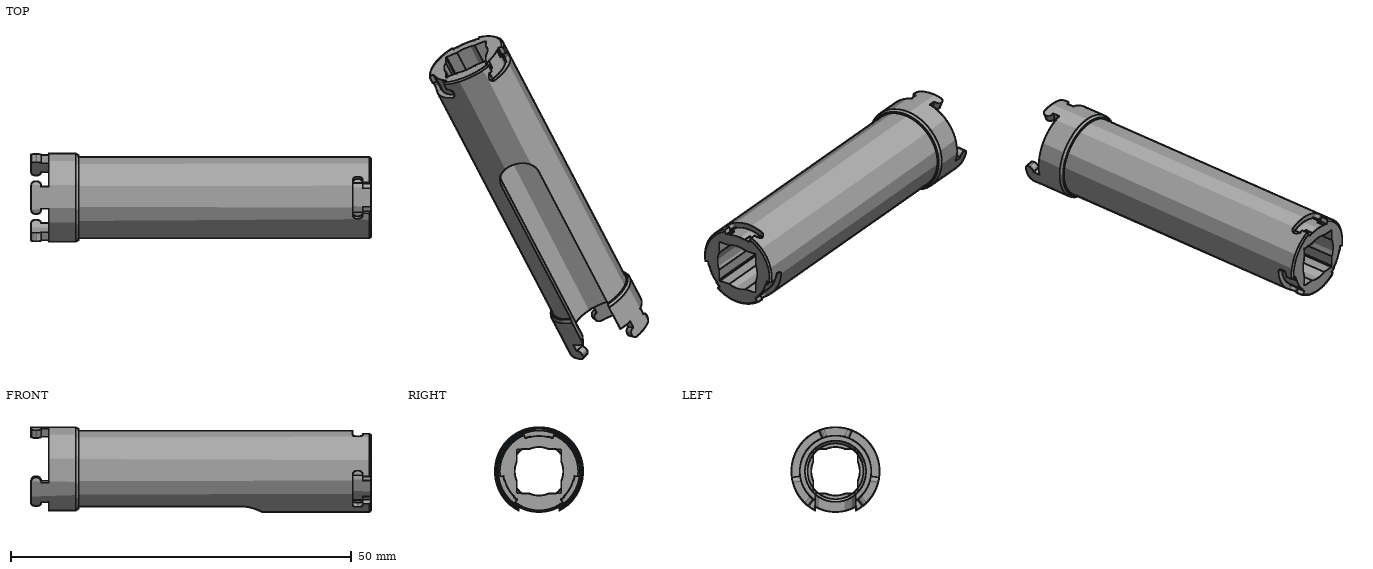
import cadquery as cq

total_length = 50.0
tube_radius = 6.0
collar_radius = 6.5
collar_start = 2.6
collar_end = 7.0
collar_chamfer_length = 0.45
collar_chamfer_depth = 0.25
end_chamfer = 0.25

bore_radius = 4.5
bore_end = 40.0
shoulder_radius = 4.1
shoulder_start = bore_end + bore_radius - shoulder_radius
hole_radius = 3.55
square_side = 6.5
counterbore_radius = 5.25
counterbore_depth = 0.2

slot_width = 6.0
slot_end = 34.0

position_angles = (0, 120, 240)
tooth_head_length = 1.5
tooth_head_half_angle = 22.0
tooth_neck_half_angle = 14.8
tooth_corner_radius = 0.7
socket_start = 47.3
socket_end = socket_start + tooth_head_length
socket_head_half_angle = 31.0
socket_neck_half_angle = 22.5
socket_corner_radius = 0.65
socket_floor_radius = 5.3
recess_floor_radius = 5.2
recess_head_half_angle = 24.0
recess_neck_half_angle = 15.0

overlap = 0.5
cut_radius = collar_radius + overlap


def cylinder(radius, start, end):
    return cq.Workplane("YZ", origin=(start, 0, 0)).circle(radius).extrude(end - start)


def sector(start, end, inner_radius, outer_radius, half_angle):
    """Ring segment with radial side walls, centred on +Z."""
    return (
        cq.Workplane("XZ")
        .moveTo(start, inner_radius)
        .lineTo(end, inner_radius)
        .lineTo(end, outer_radius)
        .lineTo(start, outer_radius)
        .close()
        .revolve(2 * half_angle, (0, 0, 0), (1, 0, 0))
        .rotate((0, 0, 0), (1, 0, 0), -half_angle)
    )


def round_radial_edges(segment, radius):
    return segment.edges("%LINE").edges("not(|X)").fillet(radius)


def make_body():
    profile = [
        (0, 0),
        (0, collar_radius),
        (collar_end - collar_chamfer_length, collar_radius),
        (collar_end, collar_radius - collar_chamfer_depth),
        (collar_end, tube_radius),
        (total_length - end_chamfer, tube_radius),
        (total_length, tube_radius - end_chamfer),
        (total_length, 0),
    ]
    return cq.Workplane("XZ").polyline(profile).close().revolve(360, (0, 0, 0), (1, 0, 0))


def make_bore():
    profile = [
        (-overlap, 0),
        (-overlap, counterbore_radius),
        (collar_start + counterbore_depth, counterbore_radius),
        (collar_start + counterbore_depth, bore_radius),
        (bore_end, bore_radius),
        (shoulder_start, shoulder_radius),
        (shoulder_start, hole_radius),
        (total_length + overlap, hole_radius),
        (total_length + overlap, 0),
    ]
    return cq.Workplane("XZ").polyline(profile).close().revolve(360, (0, 0, 0), (1, 0, 0))


def make_square_hole():
    square = (
        cq.Workplane("YZ", origin=(shoulder_start, 0, 0))
        .rect(square_side, square_side)
        .extrude(total_length + overlap - shoulder_start)
    )
    return square.intersect(cylinder(bore_radius, shoulder_start, total_length + overlap))


def make_slot():
    straight_end = slot_end - slot_width / 2
    straight = cq.Workplane("XY").box(
        straight_end, slot_width, cut_radius, centered=(False, True, False)
    )
    round_end = cq.Workplane("XY").center(straight_end, 0).circle(slot_width / 2).extrude(cut_radius)
    return straight.union(round_end).translate((0, 0, -cut_radius))


def make_tooth():
    """Tooth outline, deeper and taller than the ring it is taken from."""
    inner = hole_radius - overlap
    outer = cut_radius + overlap
    head = sector(0, tooth_head_length, inner, outer, tooth_head_half_angle)
    neck = sector(
        tooth_head_length - tooth_corner_radius,
        collar_start + overlap,
        inner,
        outer,
        tooth_neck_half_angle,
    )
    return round_radial_edges(head, tooth_corner_radius).union(neck)


def make_tooth_gaps():
    """Everything in front of the collar face except the teeth."""
    gaps = cylinder(cut_radius, -overlap, collar_start)
    gaps = gaps.cut(cylinder(hole_radius, -2 * overlap, collar_start + overlap))
    tooth = make_tooth()
    for angle in position_angles:
        gaps = gaps.cut(tooth.rotate((0, 0, 0), (1, 0, 0), angle))
    return gaps


def make_socket():
    head = sector(
        socket_start, socket_end, socket_floor_radius, cut_radius, socket_head_half_angle
    )
    neck = sector(
        socket_end - tooth_head_length / 2,
        total_length + overlap,
        socket_floor_radius,
        cut_radius,
        socket_neck_half_angle,
    )
    head_recess = sector(
        socket_start, socket_end, recess_floor_radius, tube_radius, recess_head_half_angle
    )
    neck_recess = sector(
        socket_end - overlap,
        total_length + overlap,
        recess_floor_radius,
        tube_radius,
        recess_neck_half_angle,
    )
    rounded_head = round_radial_edges(head, socket_corner_radius)
    return rounded_head.union(neck).union(head_recess).union(neck_recess)


result = make_body().cut(make_bore()).cut(make_square_hole())
result = result.cut(make_tooth_gaps()).cut(make_slot())
socket = make_socket()
for angle in position_angles:
    result = result.cut(socket.rotate((0, 0, 0), (1, 0, 0), angle))